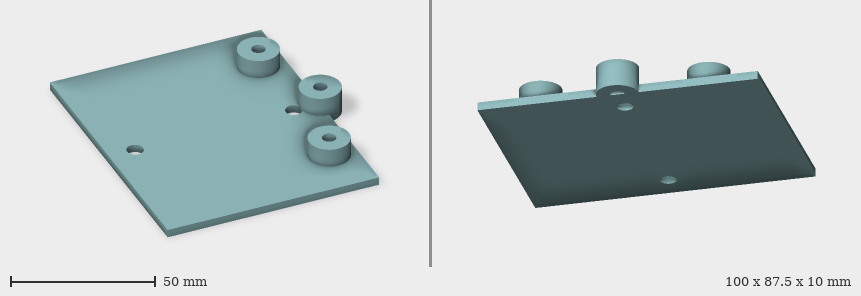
import cadquery as cq

plate_width = 100
plate_depth = 80
plate_thickness = 3

boss_diameter = 15
boss_bore = 5
boss_top = 10
side_boss_spacing = 60
feature_inset = 10
back_row_y = plate_depth - feature_inset
boss_centers = [
    (-side_boss_spacing / 2, back_row_y),
    (side_boss_spacing / 2, back_row_y),
    (0, plate_depth),
]

hole_diameter = 6
hole_centers = [(0, feature_inset), (0, back_row_y)]


def make_plate():
    """Flat plate, centred in X, with its front edge on Y = 0."""
    plate = cq.Workplane("XY").box(
        plate_width, plate_depth, plate_thickness, centered=(True, False, False)
    )
    holes = (
        cq.Workplane("XY")
        .pushPoints(hole_centers)
        .circle(hole_diameter / 2)
        .extrude(boss_top)
    )
    return plate.cut(holes)


def make_boss(center):
    """Round boss with a bore, reaching down to the plate underside."""
    return (
        cq.Workplane("XY")
        .center(*center)
        .circle(boss_diameter / 2)
        .circle(boss_bore / 2)
        .extrude(boss_top)
    )


result = make_plate()
for boss_center in boss_centers:
    result = result.union(make_boss(boss_center))